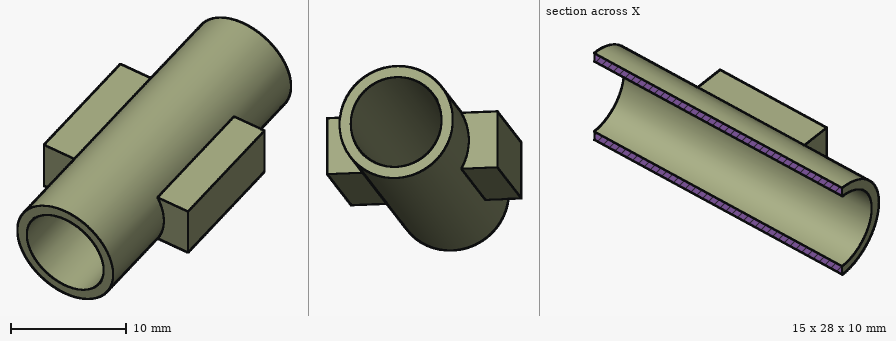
import cadquery as cq

tube_length = 28.0
outer_diameter = 10.0
inner_diameter = 8.0

span_across_lugs = 15.0
lug_length = 12.05
lug_height = outer_diameter / 2


def cylinder_along_y(diameter):
    """Cylinder of the tube's length, centred on the Y axis."""
    return cq.Workplane("XZ").circle(diameter / 2).extrude(tube_length / 2, both=True)


lug_bar = cq.Workplane("XY").box(span_across_lugs, lug_length, lug_height)

result = cylinder_along_y(outer_diameter).union(lug_bar).cut(cylinder_along_y(inner_diameter))